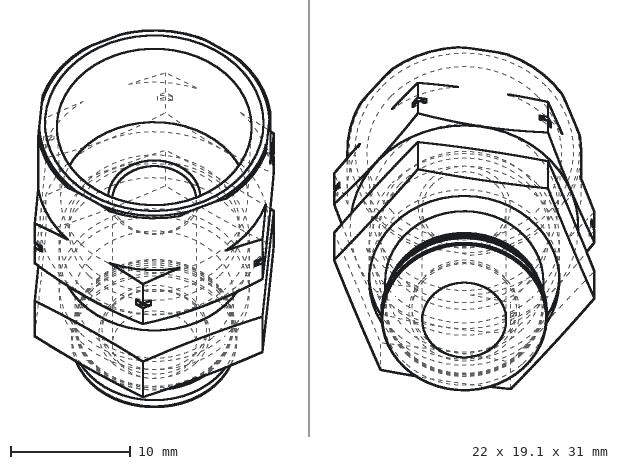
import cadquery as cq
import math

across_flats = 19.05
across_corners = across_flats / math.cos(math.radians(30))
corner_radius = across_corners / 2

height = 31.0
socket_radius = 9.75
socket_edge_chamfer = 0.15
shoulder_z = 23.6
shoulder_angle = 15.0
hex_bottom_z = 17.0
hex_bottom_angle = 25.0
hex_bottom_radius = 9.52

notch_radius = 10.65
notch_width = 0.62
notch_middle_z = 20.2

socket_mouth_radius = 9.1
bore_top_radius = 8.12
mouth_angle = 28.0
bore_floor_z = 20.6
bore_floor_radius = 7.8
through_radius = 7.0 / 2
countersink_radius = 3.85

neck_radius = 14.2 / 2
neck_bottom_z = 15.78
thread_radius = 15.87 / 2
thread_end_z = 7.0
barrel_radius = 13.2 / 2
barrel_bottom_z = 2.42
barrel_edge_chamfer = 0.12
barrel_groove_z = 2.95
barrel_groove_depth = 0.1

collar_radius = 8.75 / 2
collar_flare = 0.25
flange_radius = 13.8 / 2
flange_top_z = 1.52
flange_bevel_z = 0.65
flange_rim_z = 0.43
flange_rim_radius = 6.82
flange_face_angle = 10.5

nut_bottom_z = 7.2
nut_height = 5.5
nut_chamfer_angle = 10.0


def rise(radial_run, angle):
    """Height gained along a slope of the given angle in degrees."""
    return radial_run * math.tan(math.radians(angle))


def revolve(points):
    """Solid of revolution about Z from a closed (radius, z) outline."""
    return cq.Workplane("XZ").polyline(points).close().revolve(360, (0, 0), (0, 1))


def hexagon_prism(bottom_z, top_z):
    """Hexagonal prism with corners on the X axis."""
    return cq.Workplane("XY").workplane(offset=bottom_z).polygon(6, across_corners).extrude(top_z - bottom_z)


def make_socket():
    """Hexagon turned down to a round socket above a sloping shoulder."""
    shoulder_drop = rise(corner_radius - socket_radius, shoulder_angle)
    bottom_rise = rise(corner_radius - hex_bottom_radius, hex_bottom_angle)
    turned_envelope = revolve([
        (0, hex_bottom_z),
        (hex_bottom_radius, hex_bottom_z),
        (corner_radius, hex_bottom_z + bottom_rise),
        (corner_radius, shoulder_z - shoulder_drop),
        (socket_radius, shoulder_z),
        (socket_radius, height - socket_edge_chamfer),
        (socket_radius - socket_edge_chamfer, height),
        (0, height),
    ])
    return hexagon_prism(hex_bottom_z, height).intersect(turned_envelope)


def make_corner_groove():
    """Ring that cuts only the corners of the hexagon."""
    return (
        cq.Workplane("XY")
        .workplane(offset=notch_middle_z - notch_width / 2)
        .circle(across_corners)
        .circle(notch_radius)
        .extrude(notch_width)
    )


def make_stem():
    """Neck, threaded section, barrel and release ring below the hexagon."""
    neck_step = thread_radius - neck_radius
    thread_step = thread_radius - barrel_radius
    face_end_radius = flange_rim_radius - flange_rim_z / math.tan(math.radians(flange_face_angle))
    return revolve([
        (through_radius, hex_bottom_z),
        (neck_radius, hex_bottom_z),
        (neck_radius, neck_bottom_z),
        (thread_radius, neck_bottom_z - neck_step),
        (thread_radius, thread_end_z + thread_step),
        (barrel_radius, thread_end_z),
        (barrel_radius, barrel_groove_z + barrel_groove_depth),
        (barrel_radius - barrel_groove_depth, barrel_groove_z),
        (barrel_radius, barrel_groove_z - barrel_groove_depth),
        (barrel_radius, barrel_bottom_z + barrel_edge_chamfer),
        (barrel_radius - barrel_edge_chamfer, barrel_bottom_z),
        (collar_radius, barrel_bottom_z),
        (collar_radius, flange_top_z + collar_flare),
        (collar_radius + collar_flare, flange_top_z),
        (flange_radius, flange_top_z),
        (flange_radius, flange_bevel_z),
        (flange_rim_radius, flange_rim_z),
        (face_end_radius, 0),
        (through_radius, 0),
    ])


def make_bore():
    """Tapered socket bore, countersink and through hole as one cutter."""
    mouth_depth = rise(socket_mouth_radius - bore_top_radius, mouth_angle)
    countersink_depth = countersink_radius - through_radius
    return revolve([
        (0, height),
        (socket_mouth_radius, height),
        (bore_top_radius, height - mouth_depth),
        (bore_floor_radius, bore_floor_z),
        (countersink_radius, bore_floor_z),
        (through_radius, bore_floor_z - countersink_depth),
        (through_radius, 0),
        (0, 0),
    ])


def make_body():
    """Socket, stem and release ring joined, then bored through."""
    return make_socket().cut(make_corner_groove()).union(make_stem()).cut(make_bore())


def make_nut():
    """Hexagon nut with both faces chamfered at the corners."""
    top_z = nut_bottom_z + nut_height
    face_radius = across_flats / 2
    corner_drop = rise(corner_radius - face_radius, nut_chamfer_angle)
    turned_envelope = revolve([
        (thread_radius, nut_bottom_z),
        (face_radius, nut_bottom_z),
        (corner_radius, nut_bottom_z + corner_drop),
        (corner_radius, top_z - corner_drop),
        (face_radius, top_z),
        (thread_radius, top_z),
    ])
    return hexagon_prism(nut_bottom_z, top_z).intersect(turned_envelope)


body = make_body().solids()
nut = make_nut().solids()

result = cq.Compound.makeCompound([body.val(), nut.val()])